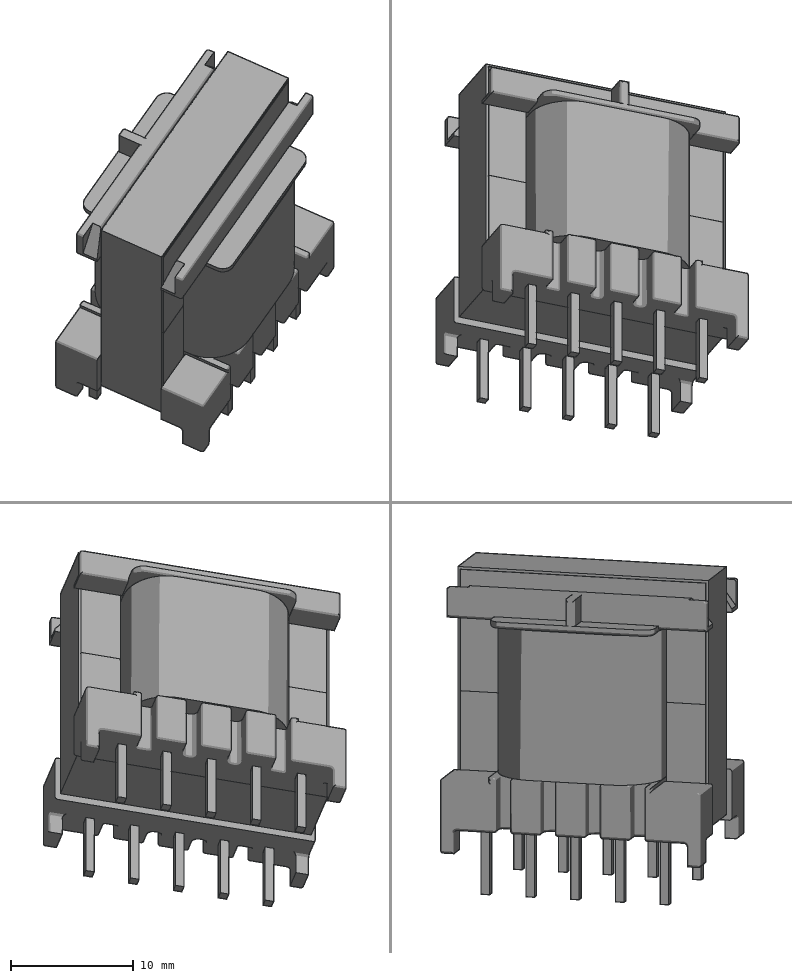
import cadquery as cq

TOTAL_HEIGHT = 26.7
BOBBIN_LENGTH = 22.0
FLANGE_SIDE = 13.9
HALF_LENGTH = BOBBIN_LENGTH / 2
HALF_SIDE = FLANGE_SIDE / 2
EDGE_RADIUS = 0.21

TAPE_THICKNESS = 0.21
TAPE_WIDTH = 5.65
TAPE_BOTTOM = 6.0
TAPE_HALF_LENGTH = 10.6
CORE_THICKNESS = 5.82
CORE_BOTTOM = TAPE_BOTTOM + TAPE_THICKNESS
CORE_TOP = TOTAL_HEIGHT - TAPE_THICKNESS
CORE_HALF_LENGTH = TAPE_HALF_LENGTH - TAPE_THICKNESS
CORE_MIDDLE = (CORE_BOTTOM + CORE_TOP) / 2
WINDOW_HALF_LENGTH = 7.08

TOP_FLANGE_TOP = 23.15
FLANGE_THICKNESS = 0.55
WINDING_TOP = TOP_FLANGE_TOP - FLANGE_THICKNESS
WINDING_BOTTOM = 10.07
BOTTOM_FLANGE_BOTTOM = WINDING_BOTTOM - FLANGE_THICKNESS

TUBE_WALL = 0.4
TUBE_SIDE = CORE_THICKNESS + 2 * TUBE_WALL
WINDING_RADIUS = (FLANGE_SIDE - TUBE_SIDE) / 2
TOP_FLANGE_RADIUS = 1.0

SIDE_GAP = 3.0
RAIL_OUTER = 5.0
RAIL_TOP = 25.35
RAIL_BOTTOM = 22.86
RAIL_SLOPE_TOP = 3.53
RAIL_WALL = 0.7
END_CUT_LENGTH = 1.63
RIB_WIDTH = 0.8

BASE_BOTTOM = 5.5
BLOCK_TOP = 9.78
FOOT_BOTTOM = 3.55
FOOT_LENGTH = 1.12
FOOT_WIDTH = 2.0
FOOT_CORNER_RADIUS = 0.3
PIN_SIDE = 0.72
PIN_COUNT = 5
PIN_PITCH = 3.8
PIN_OFFSET = 5.07
SLOT_WIDTH = 1.23
SLOT_DEPTH = 1.7
OUTER_SLOT_RADIUS = 0.2
INNER_SLOT_RADIUS = 0.53
TOLERANCE = 0.003


def box(x_range, y_range, z_range):
    """Box between pairs of limits along the three axes."""
    sizes = [high - low for low, high in (x_range, y_range, z_range)]
    return cq.Workplane("XY").box(*sizes, centered=False).translate(
        (x_range[0], y_range[0], z_range[0])
    )


def square_bar(side, bottom, top):
    """Upright square bar on the Z axis."""
    return cq.Workplane("XY").workplane(offset=bottom).rect(side, side).extrude(top - bottom)


def near(value, target):
    return abs(value - target) < TOLERANCE


def fillet_where(body, radius, chosen):
    """Round the edges for which chosen(bounding box) is true."""
    edges = [edge for edge in body.edges().vals() if chosen(edge.BoundingBox())]
    return body.newObject(edges).fillet(radius)


def make_tape():
    height = TOTAL_HEIGHT - TAPE_BOTTOM
    outer = cq.Workplane("YZ").rect(2 * TAPE_HALF_LENGTH, height)
    band = outer.rect(2 * CORE_HALF_LENGTH, height - 2 * TAPE_THICKNESS).extrude(TAPE_WIDTH / 2, both=True)
    return band.translate((0, 0, CORE_MIDDLE))


def make_upper_core():
    half = CORE_THICKNESS / 2
    body = box((-half, half), (-CORE_HALF_LENGTH, CORE_HALF_LENGTH), (CORE_MIDDLE, CORE_TOP))
    for window in ((half, WINDOW_HALF_LENGTH), (-WINDOW_HALF_LENGTH, -half)):
        body = body.cut(box((-half, half), window, (CORE_MIDDLE, TOP_FLANGE_TOP)))
    return body


def make_lower_core(upper_core):
    return upper_core.mirror("XY", (0, 0, CORE_MIDDLE))


def make_winding():
    body = square_bar(FLANGE_SIDE, WINDING_BOTTOM, WINDING_TOP).edges("|Z").fillet(WINDING_RADIUS)
    return body.cut(square_bar(TUBE_SIDE, WINDING_BOTTOM, WINDING_TOP))


def make_top_flange():
    flange = square_bar(FLANGE_SIDE, WINDING_TOP, TOP_FLANGE_TOP).edges("|Z").fillet(TOP_FLANGE_RADIUS)
    return flange.faces("<Z").edges().fillet(EDGE_RADIUS)


def make_rail():
    """Rail on the -X side, with a sloped inner face and a sloped cut at each end."""
    profile = [
        (-RAIL_OUTER, RAIL_BOTTOM),
        (-RAIL_OUTER, RAIL_TOP),
        (-RAIL_SLOPE_TOP, RAIL_TOP),
        (-SIDE_GAP, TOP_FLANGE_TOP),
        (-SIDE_GAP, RAIL_BOTTOM),
    ]
    rail = cq.Workplane("XZ").polyline(profile).close().extrude(HALF_LENGTH, both=True)
    rail = fillet_where(rail, EDGE_RADIUS, lambda b: near(b.xmin, -RAIL_SLOPE_TOP) and near(b.zmin, RAIL_TOP))

    end_cut = (
        cq.Workplane("YZ")
        .polyline(
            [
                (-HALF_LENGTH, TOP_FLANGE_TOP),
                (-HALF_LENGTH, RAIL_TOP),
                (-HALF_LENGTH + END_CUT_LENGTH, RAIL_TOP),
            ]
        )
        .close()
        .extrude(RAIL_OUTER - RAIL_WALL)
        .translate((RAIL_WALL - RAIL_OUTER, 0, 0))
    )
    rail = rail.cut(end_cut).cut(end_cut.mirror("XZ"))

    outer_outline = rail.faces("<X").edges().vals()
    wall_end_tops = rail.faces("<Y or >Y").edges(">Z").vals()
    return rail.newObject(outer_outline + wall_end_tops).fillet(EDGE_RADIUS)


def make_rib():
    """Rib from the outer edge of the flange to the -X rail."""
    rib = box(
        (-HALF_SIDE, -RAIL_OUTER + RAIL_WALL),
        (-RIB_WIDTH / 2, RIB_WIDTH / 2),
        (TOP_FLANGE_TOP, RAIL_TOP),
    )
    return fillet_where(rib, EDGE_RADIUS, lambda b: near(b.xmax, -HALF_SIDE) and near(b.zmax, RAIL_TOP))


def make_slot(middle, floor_radius):
    slot = box(
        (-HALF_SIDE, -HALF_SIDE + SLOT_DEPTH),
        (middle - SLOT_WIDTH / 2, middle + SLOT_WIDTH / 2),
        (BASE_BOTTOM, WINDING_BOTTOM),
    )
    return slot.edges("|Z and >X").fillet(floor_radius)


def round_base_edges(base):
    """Round the outline of the outer and end faces, and the rims of the slots."""
    outline = base.faces("<X or <Y or >Y").edges("not >X").vals()
    slot_space = cq.selectors.BoxSelector(
        (-HALF_SIDE + TOLERANCE, TOLERANCE - HALF_SIDE, FOOT_BOTTOM),
        (-HALF_SIDE + SLOT_DEPTH + TOLERANCE, HALF_SIDE - TOLERANCE, TOTAL_HEIGHT),
    )
    slot_rims = base.faces("|Z").edges(slot_space).vals()
    return base.newObject(outline + slot_rims).fillet(EDGE_RADIUS)


def make_base_side():
    """The -X side of the base with its feet, wire slots and pins."""
    across = (-HALF_SIDE, -SIDE_GAP)
    foot_x = (-HALF_SIDE, -HALF_SIDE + FOOT_WIDTH)
    foot_y = (HALF_LENGTH - FOOT_LENGTH, HALF_LENGTH)
    base = box(across, (-HALF_LENGTH, HALF_LENGTH), (BASE_BOTTOM, BLOCK_TOP))
    base = base.union(box(across, (-HALF_SIDE, HALF_SIDE), (BASE_BOTTOM, WINDING_BOTTOM)))
    foot = box(foot_x, foot_y, (FOOT_BOTTOM, BASE_BOTTOM))
    base = base.union(foot).union(foot.mirror("XZ"))

    base = fillet_where(
        base,
        FOOT_CORNER_RADIUS,
        lambda b: near(b.zmin, BASE_BOTTOM)
        and near(b.zmax, BASE_BOTTOM)
        and b.xmax < foot_x[1] + TOLERANCE
        and abs(b.center.y) > foot_y[0] - TOLERANCE,
    )

    for side in (-1, 1):
        base = base.cut(make_slot(side * PIN_PITCH / 2, INNER_SLOT_RADIUS))
        base = base.cut(make_slot(side * PIN_PITCH * 3 / 2, OUTER_SLOT_RADIUS))
    base = round_base_edges(base)

    for index in range(PIN_COUNT):
        middle = (index - (PIN_COUNT - 1) / 2) * PIN_PITCH
        pin = cq.Workplane("XY").rect(PIN_SIDE, PIN_SIDE).extrude(BLOCK_TOP - EDGE_RADIUS)
        base = base.union(pin.translate((-PIN_OFFSET, middle, 0)))
    return base


def make_bobbin():
    base_side = make_base_side()
    rail = make_rail()
    bobbin = square_bar(TUBE_SIDE, BOTTOM_FLANGE_BOTTOM, TOP_FLANGE_TOP).union(make_top_flange())
    bridge = (-SIDE_GAP, SIDE_GAP)
    bobbin = bobbin.union(box(bridge, (-HALF_SIDE, HALF_SIDE), (BOTTOM_FLANGE_BOTTOM, WINDING_BOTTOM)))
    for part in (base_side, rail):
        bobbin = bobbin.union(part).union(part.mirror("YZ"))
    bobbin = bobbin.union(make_rib())
    return bobbin.cut(square_bar(CORE_THICKNESS, BOTTOM_FLANGE_BOTTOM, TOP_FLANGE_TOP))


tape = make_tape()
upper_core = make_upper_core()
lower_core = make_lower_core(upper_core)
winding = make_winding()
bobbin = make_bobbin()

result = cq.Compound.makeCompound(
    [tape.val(), upper_core.val(), lower_core.val(), winding.val(), bobbin.val()]
)